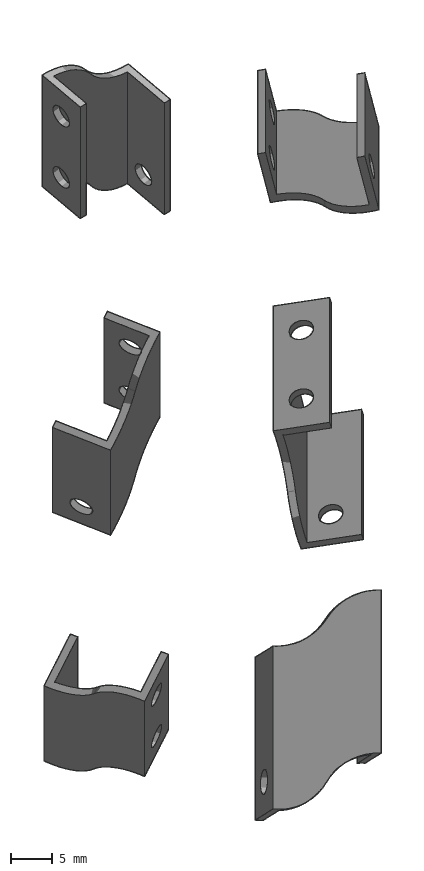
import cadquery as cq
import math

width = 8.1
depth = 13.5
height = 27.5
thickness = 1.0

front_flange = 7.0
web_lean = 0.39
flange_height = 20.0
drop = height - flange_height

low_point_inset = 0.47

hole_diameter = 3.0
front_hole_x = front_flange / 2
front_hole_margin = 4.5
rear_hole_x = 4.26
rear_hole_z = 4.02


def channel():
    """Channel section with a slightly leaning web, at full height."""
    rear_inner_y = depth - thickness
    lean_per_depth = web_lean / depth
    inner_front_x = thickness + lean_per_depth * thickness
    inner_rear_x = thickness + lean_per_depth * rear_inner_y
    section = [
        (0, 0),
        (front_flange, 0),
        (front_flange, thickness),
        (inner_front_x, thickness),
        (inner_rear_x, rear_inner_y),
        (width, rear_inner_y),
        (width, depth),
        (web_lean, depth),
    ]
    return cq.Workplane("XY").polyline(section).close().extrude(height)


def side_profile():
    """Side outline whose ends are S-curves of two tangent arcs."""
    front_bottom = drop
    rear_top = height - drop
    middle_y = depth / 2
    middle_top = height - drop / 2

    arc_radius = (middle_y**2 + (drop / 2) ** 2) / drop

    low_y = depth - low_point_inset
    radius_sum = (low_y**2 + drop**2) / (2 * drop)
    rear_radius = radius_sum - arc_radius
    joint_y = low_y * arc_radius / radius_sum
    joint_z = drop * rear_radius / radius_sum
    rear_bottom = rear_radius - math.sqrt(rear_radius**2 - low_point_inset**2)

    return (
        cq.Workplane("YZ")
        .moveTo(0, front_bottom)
        .lineTo(0, height)
        .radiusArc((middle_y, middle_top), arc_radius)
        .radiusArc((depth, rear_top), -arc_radius)
        .lineTo(depth, rear_bottom)
        .radiusArc((joint_y, joint_z), rear_radius)
        .radiusArc((0, front_bottom), -arc_radius)
        .close()
        .extrude(width)
    )


def hole(x, y, z):
    """Cylinder along Y through the flange whose outside starts at y."""
    axis = cq.Vector(0, 1, 0)
    return cq.Solid.makeCylinder(hole_diameter / 2, thickness, cq.Vector(x, y, z), axis)


result = channel().intersect(side_profile())
for hole_z in (drop + front_hole_margin, height - front_hole_margin):
    result = result.cut(hole(front_hole_x, 0, hole_z))
result = result.cut(hole(rear_hole_x, depth - thickness, rear_hole_z))